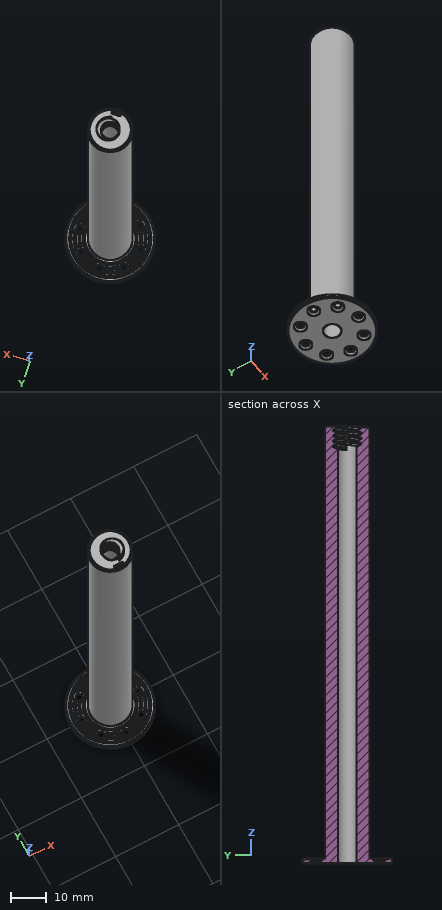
import cadquery as cq
import math

total_height = 121.88
flange_diameter = 25.0
flange_thickness = 1.5
flange_chamfer = 0.25
tube_diameter = 12.5
tube_chamfer = 0.5

bore_radius = 2.55
thread_root_radius = 3.85
thread_pitch = 1.5
thread_turns = 5
thread_root_width = 0.1
thread_mouth_width = 1.35
thread_start_angle = 5.0
thread_overlap = 0.1

hole_count = 8
hole_circle_radius = 9.0
hole_diameter = 2.0
countersink_diameter = 3.6
countersink_angle = 110.0

groove_count = 4
groove_pitch = 1.27
groove_width = 0.6
groove_depth = 0.5
first_groove_radius = 7.35

mark_length = 2.6
mark_width = 0.65
mark_depth = 0.3
mark_radius = 5.0

axis_start = (0, 0, 0)
axis_end = (0, 1, 0)


def make_body():
    flange = cq.Workplane("XY").circle(flange_diameter / 2).extrude(flange_thickness)
    flange = flange.edges().chamfer(flange_chamfer)
    tube = cq.Workplane("XY").circle(tube_diameter / 2).extrude(total_height)
    tube = tube.faces(">Z").edges().chamfer(tube_chamfer)
    return flange.union(tube)


def make_index_mark():
    return (
        cq.Workplane("XY", origin=(0, -mark_radius, total_height - mark_depth))
        .rect(mark_length, mark_width)
        .extrude(mark_depth)
    )


def make_grooves():
    grooves = cq.Workplane("XY")
    for index in range(groove_count):
        groove_radius = first_groove_radius + index * groove_pitch
        outline = [
            (groove_radius - groove_width / 2, flange_thickness),
            (groove_radius, flange_thickness - groove_depth),
            (groove_radius + groove_width / 2, flange_thickness),
        ]
        groove = cq.Workplane("XZ").polyline(outline).close().revolve(360, axis_start, axis_end)
        grooves = grooves.add(groove)
    return grooves.combine()


def make_screw_holes():
    hole_radius = hole_diameter / 2
    countersink_radius = countersink_diameter / 2
    half_angle = math.radians(countersink_angle / 2)
    countersink_depth = (countersink_radius - hole_radius) / math.tan(half_angle)
    outline = [
        (0, 0),
        (countersink_radius, 0),
        (hole_radius, countersink_depth),
        (hole_radius, flange_thickness - countersink_depth),
        (countersink_radius, flange_thickness),
        (0, flange_thickness),
    ]
    hole = cq.Workplane("XZ").polyline(outline).close().revolve(360, axis_start, axis_end).val()
    centres = cq.Workplane("XY").polarArray(hole_circle_radius, 0, 360, hole_count)
    return centres.eachpoint(lambda place: hole.moved(place))


def make_thread_groove():
    """A helical groove with sloping flanks, running down from one pitch above the tube."""
    length = thread_turns * thread_pitch
    inner_radius = bore_radius - thread_overlap
    flank_slope = (thread_mouth_width - thread_root_width) / (thread_root_radius - bore_radius)
    inner_half = (thread_mouth_width + thread_overlap * flank_slope) / 2
    root_half = thread_root_width / 2
    outline = [
        (inner_radius, -inner_half),
        (thread_root_radius, -root_half),
        (thread_root_radius, root_half),
        (inner_radius, inner_half),
    ]
    path = cq.Wire.makeHelix(thread_pitch, length, bore_radius)
    groove = cq.Workplane("XZ").polyline(outline).close().sweep(path, isFrenet=True)
    groove = groove.rotate((0, 0, 0), (0, 0, 1), thread_start_angle)
    return groove.translate((0, 0, total_height + thread_pitch - length))


def make_bore():
    return cq.Workplane("XY").circle(bore_radius).extrude(total_height)


body = make_body().cut(make_index_mark())
body = body.cut(make_grooves()).cut(make_screw_holes())
result = body.cut(make_thread_groove()).cut(make_bore())